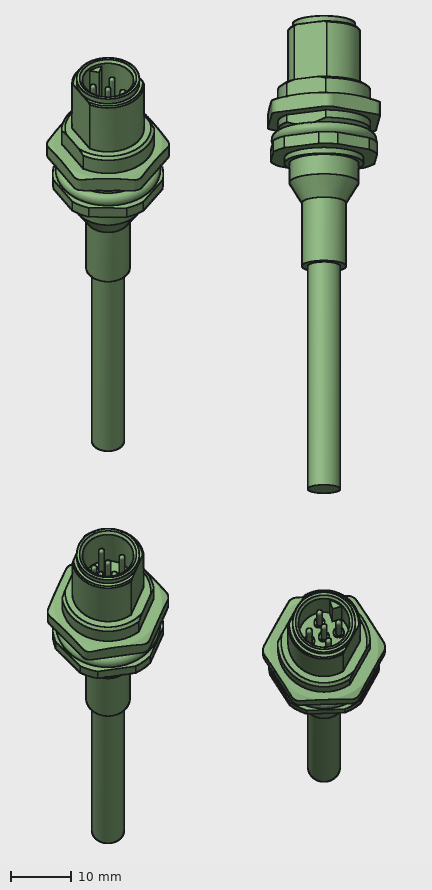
import cadquery as cq
import math

TOTAL_HEIGHT = 79.7
FLAT_ANGLE = 45.0
HALF_HEX_ANGLE = 30.0

CABLE_RADIUS = 2.7
SLEEVE_RADIUS = 3.7
SLEEVE_BOTTOM = 38.2
CONE_BOTTOM = 49.0
CONE_TOP = 52.45
BOOT_RADIUS = 5.7
COLLAR_RADIUS = 6.5
COLLAR_HEIGHT = 0.95

FLANGE_BOTTOM = 56.75
FLANGE_HEIGHT = 2.0
FLANGE_ACROSS_FLATS = 17.2
FLANGE_CORNER_RADIUS = 9.2
PANEL_THREAD_RADIUS = 7.65
PANEL_THREAD_ACROSS_FLATS = 13.55
PANEL_THREAD_TOP = 68.8
PANEL_THREAD_CHAMFER = 0.55
PANEL_THREAD_CHAMFER_HEIGHT = 0.4
UNDERCUT_CONE_HEIGHT = 0.8
PLUG_RADIUS = 6.0
PLUG_ACROSS_FLATS = 10.4
PLUG_TOP_CHAMFER = 0.2

SEAL_CORD_RADIUS = 1.0
SEAL_OUTER_RADIUS = 8.7

NUT_BOTTOM = 62.9
NUT_HEIGHT = 2.6
NUT_ACROSS_FLATS = 17.9
NUT_CORNER_FILLET = 1.6
NUT_CHAMFER_DROP = 0.4

INSERT_RADIUS = 4.95
INSERT_BOTTOM = 69.8
INSERT_HEAD_HEIGHT = 1.0
SOCKET_RADIUS = 4.2
SOCKET_MOUTH_RADIUS = 4.7
SOCKET_MOUTH_DEPTH = 0.4
SOCKET_FLOOR = 71.7
KEY_ANGLE = 135.0
KEY_TIP_DISTANCE = 2.95
KEY_TOP = 78.75
PIN_RADIUS = 0.5
PIN_TIP = 77.6
PIN_TIP_FILLET = 0.4
PIN_CIRCLE_RADIUS = 2.55
OUTER_PIN_COUNT = 4
PIN_RECESS_RADIUS = 0.9
PIN_RECESS_DEPTH = 0.4

FLANGE_TOP = FLANGE_BOTTOM + FLANGE_HEIGHT
SEAL_CENTRE_RADIUS = SEAL_OUTER_RADIUS - SEAL_CORD_RADIUS
NECK_RADIUS = SEAL_CENTRE_RADIUS - SEAL_CORD_RADIUS
PANEL_THREAD_BOTTOM = FLANGE_TOP + 2 * SEAL_CORD_RADIUS
PLUG_TOP = TOTAL_HEIGHT - INSERT_HEAD_HEIGHT
INSERT_HEAD_RADIUS = PLUG_ACROSS_FLATS / 2


def cylinder(radius, bottom, top):
    return cq.Workplane("XY").workplane(offset=bottom).circle(radius).extrude(top - bottom)


def revolved(outline):
    """Turn a closed (radius, Z) outline about the Z axis."""
    return cq.Workplane("XZ").polyline(outline).close().revolve(360, (0, 0, 0), (0, 1, 0))


def flats_block(across_flats, bottom, top):
    """Block whose two long sides are a pair of wrench flats facing FLAT_ANGLE."""
    length = 4 * PANEL_THREAD_RADIUS
    block = cq.Workplane("XY").workplane(offset=bottom).rect(across_flats, length).extrude(top - bottom)
    return block.rotate((0, 0, 0), (0, 0, 1), FLAT_ANGLE)


def hexagon(across_flats, bottom, top):
    """Hexagonal prism with one side facing FLAT_ANGLE."""
    across_corners = across_flats / math.cos(math.radians(HALF_HEX_ANGLE))
    prism = cq.Workplane("XY").workplane(offset=bottom).polygon(6, across_corners).extrude(top - bottom)
    return prism.rotate((0, 0, 0), (0, 0, 1), FLAT_ANGLE - HALF_HEX_ANGLE)


def make_moulded_cable():
    """Cable with its strain-relief boot, ending in a collar under the flange."""
    collar_bottom = FLANGE_BOTTOM - COLLAR_HEIGHT
    return revolved([
        (0, 0),
        (CABLE_RADIUS, 0),
        (CABLE_RADIUS, SLEEVE_BOTTOM),
        (SLEEVE_RADIUS, SLEEVE_BOTTOM),
        (SLEEVE_RADIUS, CONE_BOTTOM),
        (BOOT_RADIUS, CONE_TOP),
        (BOOT_RADIUS, collar_bottom),
        (COLLAR_RADIUS, collar_bottom),
        (COLLAR_RADIUS, FLANGE_BOTTOM),
        (0, FLANGE_BOTTOM),
    ])


def make_panel_thread():
    """Large thread stub: chamfered at both ends, with two wrench flats."""
    stub = revolved([
        (0, PANEL_THREAD_BOTTOM),
        (NECK_RADIUS, PANEL_THREAD_BOTTOM),
        (PANEL_THREAD_RADIUS, PANEL_THREAD_BOTTOM + UNDERCUT_CONE_HEIGHT),
        (PANEL_THREAD_RADIUS, PANEL_THREAD_TOP - PANEL_THREAD_CHAMFER_HEIGHT),
        (PANEL_THREAD_RADIUS - PANEL_THREAD_CHAMFER, PANEL_THREAD_TOP),
        (0, PANEL_THREAD_TOP),
    ])
    return stub.intersect(flats_block(PANEL_THREAD_ACROSS_FLATS, PANEL_THREAD_BOTTOM, PANEL_THREAD_TOP))


def make_plug_shell():
    """Small threaded plug with two wrench flats."""
    plug = cylinder(PLUG_RADIUS, PANEL_THREAD_TOP, PLUG_TOP).faces(">Z").chamfer(PLUG_TOP_CHAMFER)
    return plug.intersect(flats_block(PLUG_ACROSS_FLATS, PANEL_THREAD_TOP, PLUG_TOP))


def make_housing():
    """Flange, neck, panel thread and plug, bored from the top for the contact insert."""
    flange = cylinder(FLANGE_CORNER_RADIUS, FLANGE_BOTTOM, FLANGE_TOP).intersect(
        hexagon(FLANGE_ACROSS_FLATS, FLANGE_BOTTOM, FLANGE_TOP)
    )
    neck = cylinder(NECK_RADIUS, FLANGE_TOP, PANEL_THREAD_BOTTOM)
    insert_bore = cylinder(INSERT_RADIUS, INSERT_BOTTOM, PLUG_TOP)
    return flange.union(neck).union(make_panel_thread()).union(make_plug_shell()).cut(insert_bore)


def make_seal_ring():
    centre_height = FLANGE_TOP + SEAL_CORD_RADIUS
    cord = cq.Workplane("XZ").center(SEAL_CENTRE_RADIUS, centre_height).circle(SEAL_CORD_RADIUS)
    return cord.revolve(360, (-SEAL_CENTRE_RADIUS, 0, 0), (-SEAL_CENTRE_RADIUS, 1, 0))


def make_nut():
    """Hexagon nut with rounded corners, a conical top edge and a hole that fits the panel thread."""
    top = NUT_BOTTOM + NUT_HEIGHT
    flat_radius = NUT_ACROSS_FLATS / 2
    corner_radius = flat_radius / math.cos(math.radians(HALF_HEX_ANGLE))
    nut = hexagon(NUT_ACROSS_FLATS, NUT_BOTTOM, top).edges("|Z").fillet(NUT_CORNER_FILLET)
    envelope = revolved([
        (0, NUT_BOTTOM),
        (corner_radius, NUT_BOTTOM),
        (corner_radius, top - NUT_CHAMFER_DROP),
        (flat_radius, top),
        (0, top),
    ])
    return nut.intersect(envelope).cut(make_panel_thread())


def make_key():
    """Coding rib on the socket wall: a right-angled wedge that points at the axis."""
    middle_radius = (SOCKET_RADIUS + INSERT_RADIUS) / 2
    key_length = middle_radius - KEY_TIP_DISTANCE
    wedge = (
        cq.Workplane("XY")
        .workplane(offset=SOCKET_FLOOR)
        .polyline([(KEY_TIP_DISTANCE, 0), (middle_radius, key_length), (middle_radius, -key_length)])
        .close()
        .extrude(KEY_TOP - SOCKET_FLOOR)
        .rotate((0, 0, 0), (0, 0, 1), KEY_ANGLE)
    )
    return wedge.intersect(cylinder(INSERT_RADIUS, SOCKET_FLOOR, KEY_TOP))


def make_contact_insert():
    """Socket-shaped insert whose head rests on the plug, with a coding key, a central pin and a ring of pins."""
    cup = revolved([
        (0, INSERT_BOTTOM),
        (INSERT_RADIUS, INSERT_BOTTOM),
        (INSERT_RADIUS, PLUG_TOP),
        (INSERT_HEAD_RADIUS, PLUG_TOP),
        (INSERT_HEAD_RADIUS, TOTAL_HEIGHT),
        (SOCKET_MOUTH_RADIUS, TOTAL_HEIGHT),
        (SOCKET_RADIUS, TOTAL_HEIGHT - SOCKET_MOUTH_DEPTH),
        (SOCKET_RADIUS, SOCKET_FLOOR),
        (0, SOCKET_FLOOR),
    ])
    insert = cup.union(make_key())

    recess_floor = SOCKET_FLOOR - PIN_RECESS_DEPTH
    recess = cylinder(PIN_RECESS_RADIUS, recess_floor, SOCKET_FLOOR)
    pin = cylinder(PIN_RADIUS, recess_floor, PIN_TIP).faces(">Z").fillet(PIN_TIP_FILLET)
    pin_places = [(0, 0)]
    for index in range(OUTER_PIN_COUNT):
        turn = 2 * math.pi * index / OUTER_PIN_COUNT
        pin_places.append((PIN_CIRCLE_RADIUS * math.cos(turn), PIN_CIRCLE_RADIUS * math.sin(turn)))
    for x, y in pin_places:
        insert = insert.cut(recess.translate((x, y, 0))).union(pin.translate((x, y, 0)))
    return insert


moulded_cable = make_moulded_cable()
housing = make_housing()
seal_ring = make_seal_ring()
nut = make_nut()
contact_insert = make_contact_insert()

result = cq.Compound.makeCompound([
    moulded_cable.val(),
    housing.val(),
    seal_ring.val(),
    nut.val(),
    contact_insert.val(),
])